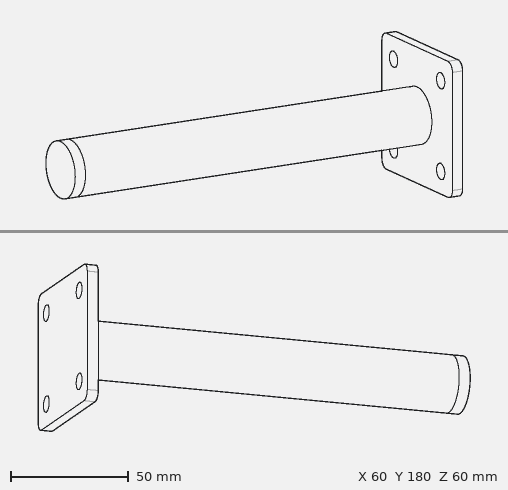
import cadquery as cq

total_length = 180.0
plate_side = 60.0
plate_thickness = 5.0
corner_radius = 4.0
hole_diameter = 7.0
hole_spacing = 40.0
post_diameter = 25.0
cap_thickness = 5.0

post_start = cap_thickness
plate_front = total_length - plate_thickness
post_length = plate_front - post_start


def cylinder_along_y(diameter, start, length):
    """Round bar on the Y axis, running toward +Y from start."""
    plane = cq.Plane(origin=(0, start, 0), xDir=(1, 0, 0), normal=(0, 1, 0))
    return cq.Workplane(plane).circle(diameter / 2).extrude(length)


def make_plate():
    """Square mounting plate with rounded corners and four through holes."""
    plate = (
        cq.Workplane("XY")
        .box(plate_side, plate_thickness, plate_side)
        .edges("|Y")
        .fillet(corner_radius)
    )
    plate = (
        plate.faces("<Y")
        .workplane(centerOption="CenterOfBoundBox")
        .rect(hole_spacing, hole_spacing, forConstruction=True)
        .vertices()
        .hole(hole_diameter)
    )
    return plate.translate((0, plate_front + plate_thickness / 2, 0))


plate = make_plate()
post = cylinder_along_y(post_diameter, post_start, post_length)
cap = cylinder_along_y(post_diameter, 0, cap_thickness)

result = cq.Compound.makeCompound([plate.val(), post.val(), cap.val()])